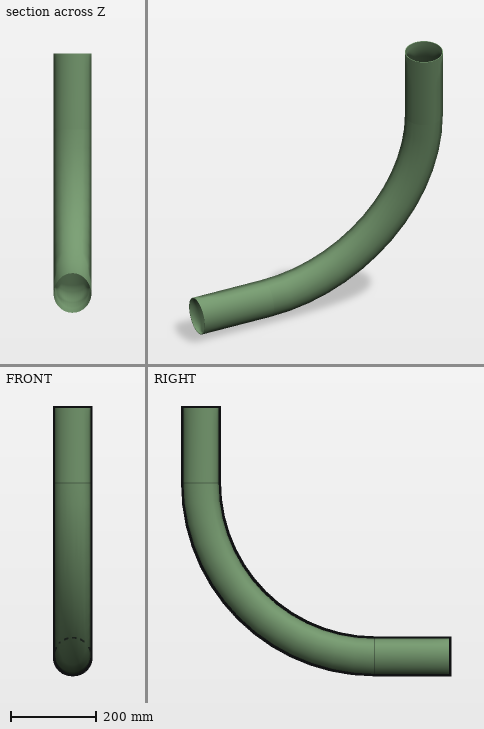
import cadquery as cq

outer_diameter = 88.9
inner_diameter = 85.7
overall_size = 628.65

bend_radius = 406.4
corner_to_end = overall_size - outer_diameter / 2
leg_length = corner_to_end - bend_radius
bend_angle = 90


def tube_section(plane):
    """Annular cross-section of the tube, centred on the plane's origin."""
    return cq.Workplane(plane).circle(outer_diameter / 2).circle(inner_diameter / 2)


upright_joint = cq.Plane(origin=(0, 0, bend_radius), xDir=(1, 0, 0), normal=(0, 0, 1))
level_joint = cq.Plane(origin=(0, bend_radius, 0), xDir=(1, 0, 0), normal=(0, 1, 0))

upright_leg = tube_section(upright_joint).extrude(leg_length)
level_leg = tube_section(level_joint).extrude(leg_length)

bend = tube_section(upright_joint).revolve(
    bend_angle, (0, bend_radius, 0), (1, bend_radius, 0)
)

result = upright_leg.union(bend).union(level_leg)